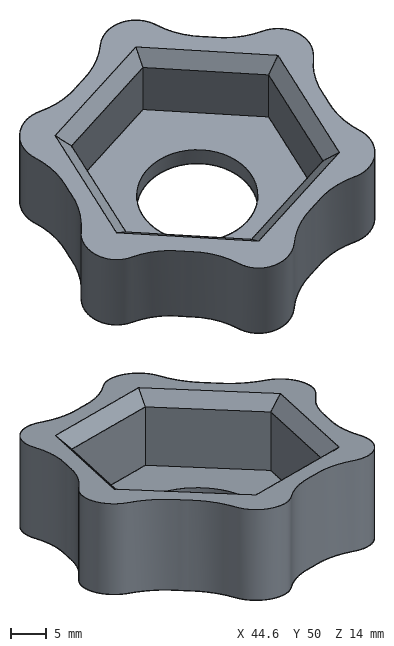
import cadquery as cq
import math

height = 14.0
lobe_count = 6
hub_radius = 20.0
lobe_radius = 5.0
blend_radius = 12.5
bore_diameter = 17.0
floor_thickness = 3.0
pocket_mouth_radius = 20.0
chamfer_size = 2.0

lobe_pitch = 2 * math.pi / lobe_count
first_lobe_angle = math.pi / 2


def polar(radius, angle):
    return radius * math.cos(angle), radius * math.sin(angle)


def point_between(start, end, fraction):
    return tuple(a + (b - a) * fraction for a, b in zip(start, end))


def blend_points(lobe_angle, side):
    """Lobe tangent point, arc midpoint and body tangent point of one flank."""
    centre_distance = hub_radius + blend_radius
    lobe_distance = lobe_radius + blend_radius
    offset_angle = math.acos(
        (hub_radius**2 + centre_distance**2 - lobe_distance**2)
        / (2 * hub_radius * centre_distance)
    )
    body_angle = lobe_angle + side * offset_angle
    centre = polar(centre_distance, body_angle)
    lobe_tangent = point_between(polar(hub_radius, lobe_angle), centre, lobe_radius / lobe_distance)
    body_tangent = polar(hub_radius, body_angle)
    chord_middle = point_between(lobe_tangent, body_tangent, 0.5)
    middle = point_between(centre, chord_middle, blend_radius / math.dist(centre, chord_middle))
    return lobe_tangent, middle, body_tangent


def knob_body():
    """Six round lobes joined to the round body by hollow flanks."""
    outline = cq.Workplane("XY").moveTo(*blend_points(first_lobe_angle, -1)[2])
    for index in range(lobe_count):
        lobe_angle = first_lobe_angle + index * lobe_pitch
        lobe_start, start_middle, _ = blend_points(lobe_angle, -1)
        lobe_end, end_middle, body_start = blend_points(lobe_angle, 1)
        body_end = blend_points(lobe_angle + lobe_pitch, -1)[2]
        outline = (
            outline.threePointArc(start_middle, lobe_start)
            .threePointArc(polar(hub_radius + lobe_radius, lobe_angle), lobe_end)
            .threePointArc(end_middle, body_start)
            .threePointArc(polar(hub_radius, lobe_angle + lobe_pitch / 2), body_end)
        )
    return outline.close().extrude(height)


def hexagon(z, corner_radius):
    """Hexagonal outline at height z with its corners pointing at the lobes."""
    corners = [polar(corner_radius, first_lobe_angle + i * lobe_pitch) for i in range(lobe_count)]
    return cq.Wire.makePolygon([cq.Vector(x, y, z) for x, y in corners], close=True)


def pocket():
    """Hexagonal pocket with a 45 degree lead-in."""
    wall_radius = pocket_mouth_radius - chamfer_size / math.cos(lobe_pitch / 2)
    wall_top = height - chamfer_size
    wall_outline = hexagon(wall_top, wall_radius)
    walls = cq.Solid.makeLoft([hexagon(floor_thickness, wall_radius), wall_outline], True)
    lead_in = cq.Solid.makeLoft([wall_outline, hexagon(height, pocket_mouth_radius)], True)
    return cq.Workplane(walls).union(cq.Workplane(lead_in))


bore = cq.Workplane("XY").circle(bore_diameter / 2).extrude(height)

result = knob_body().cut(pocket()).cut(bore)